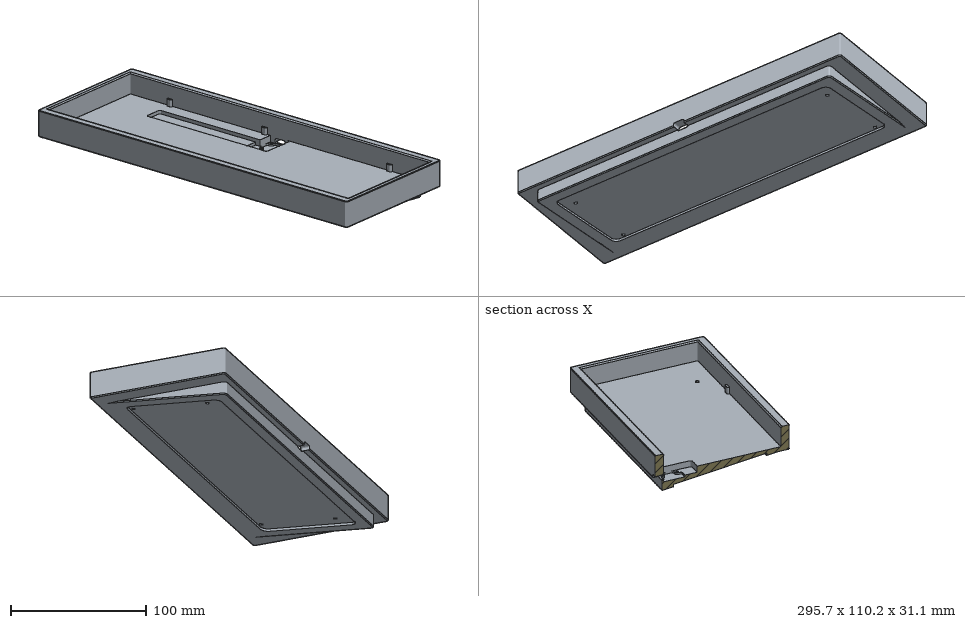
import cadquery as cq
import math

case_length = 295.7
case_width = 110.2
overall_height = 31.12
case_height = 21.1
case_corner_radius = 2.0
top_edge_chamfer = 0.5
bottom_edge_chamfer = 0.8

cavity_length = 286.25
cavity_width = 95.75
cavity_depth = 17.0
cavity_corner_radius = 0.5
rim_chamfer_size = 1.0
floor_z = case_height - cavity_depth

wedge_length = 268.4
wedge_back_y = 49.7
wedge_angle = 6.0
wedge_slope = math.tan(math.radians(wedge_angle))
wedge_corner_radius = 3.0
wedge_overlap = 1.0
wedge_edge_chamfer = 0.8
chamfer_rise = wedge_edge_chamfer * math.sin(math.radians(wedge_angle))
wedge_depth = overall_height - case_height + chamfer_rise
wedge_front_y = wedge_back_y - wedge_depth / wedge_slope

recess_border = 9.8
recess_depth = 2.0
recess_corner_radius = 5.0

screw_hole_diameter = 2.53
screw_hole_x = 115.0
front_hole_y = -34.0
back_hole_y = 26.0
back_hole_depth = 4.0

tab_width = 4.6
tab_height = 5.5
tab_root = 1.0
tab_reach = 1.9
tab_corner_radius = 1.0
back_tab_positions = (-105.0, -14.4, 105.0)
front_tab_positions = (-90.5, 90.5)

channel_left_x = -105.5
pocket_left_x = -13.8
pocket_half_width = 9.4
channel_front_y = 20.7
channel_back_y = 36.0
channel_corner_radius = 2.0
channel_depth = 2.8
pocket_depth = 5.2
pocket_z = floor_z - pocket_depth

relief_depth = 1.5
relief_front_y = 30.7
board_hole_diameter = 1.6
board_hole_x = 7.1
board_hole_front_y = 33.5
board_hole_back_y = 46.1
board_hole_depth = 3.0
board_pad_margin = 2.1
board_pad_radius = 2.0
relief_end_radius = 1.4

port_width = 9.5
port_lift = 0.2
port_height = 3.9
port_corner_radius = 1.5
port_bottom_z = pocket_z + port_lift


def box(x_min, x_max, y_min, y_max, z_min, z_max):
    """Axis-aligned block given by its limits."""
    return cq.Workplane("XY").box(
        x_max - x_min, y_max - y_min, z_max - z_min, centered=False
    ).translate((x_min, y_min, z_min))


def make_body():
    body = cq.Workplane("XY").box(case_length, case_width, case_height, centered=(True, True, False))
    body = body.edges("|Z").fillet(case_corner_radius)
    body = body.faces(">Z").edges().chamfer(top_edge_chamfer)
    return body.faces("<Z").edges().chamfer(bottom_edge_chamfer)


def make_cavity():
    cavity = (
        cq.Workplane("XY", origin=(0, 0, floor_z))
        .rect(cavity_length, cavity_width)
        .extrude(cavity_depth)
        .edges("|Z")
        .fillet(cavity_corner_radius)
    )
    rim_chamfer = (
        cq.Workplane("XY", origin=(0, 0, case_height))
        .rect(cavity_length + 2 * rim_chamfer_size, cavity_width + 2 * rim_chamfer_size)
        .workplane(offset=-rim_chamfer_size)
        .rect(cavity_length, cavity_width)
        .loft(ruled=True)
    )
    return cavity.union(rim_chamfer)


def underside_z(y):
    """Height of the sloping underside of the wedge at a given Y."""
    return -(y - wedge_front_y) * wedge_slope


def make_wedge():
    wedge = (
        cq.Workplane("YZ", origin=(-wedge_length / 2, 0, 0))
        .moveTo(wedge_front_y, 0)
        .lineTo(wedge_back_y, underside_z(wedge_back_y))
        .lineTo(wedge_back_y, wedge_overlap)
        .lineTo(wedge_front_y, wedge_overlap)
        .close()
        .extrude(wedge_length)
    )
    wedge = wedge.edges("|Z and >Y").fillet(wedge_corner_radius)
    return wedge.faces("<Z").edges("not <Y").chamfer(wedge_edge_chamfer)


def make_recess():
    half_length = wedge_length / 2 - recess_border
    front_y = wedge_front_y + recess_border
    back_y = wedge_back_y - recess_border
    profile = (
        cq.Workplane("YZ", origin=(-half_length, 0, 0))
        .moveTo(front_y, underside_z(front_y) + recess_depth)
        .lineTo(back_y, underside_z(back_y) + recess_depth)
        .lineTo(back_y, -overall_height)
        .lineTo(front_y, -overall_height)
        .close()
    )
    return profile.extrude(2 * half_length).edges("|Z").fillet(recess_corner_radius)


def make_screw_holes():
    """Front holes pass through the floor; the back ones are blind, in the thick of the wedge."""
    radius = screw_hole_diameter / 2
    front_holes = (
        cq.Workplane("XY", origin=(0, 0, -wedge_depth))
        .pushPoints([(-screw_hole_x, front_hole_y), (screw_hole_x, front_hole_y)])
        .circle(radius)
        .extrude(wedge_depth + case_height)
    )
    back_hole_top = underside_z(back_hole_y) + recess_depth + back_hole_depth
    back_holes = (
        cq.Workplane("XY", origin=(0, 0, back_hole_top))
        .pushPoints([(-screw_hole_x, back_hole_y), (screw_hole_x, back_hole_y)])
        .circle(radius)
        .extrude(-overall_height)
    )
    return front_holes.union(back_holes)


def make_tab(x, side):
    """Tab on the front (side = -1) or back (side = +1) cavity wall, standing on the floor."""
    root_y = side * (cavity_width / 2 + tab_root)
    tip_y = side * (cavity_width / 2 - tab_reach)
    tab = box(
        x - tab_width / 2, x + tab_width / 2,
        min(root_y, tip_y), max(root_y, tip_y),
        floor_z, floor_z + tab_height,
    )
    return tab.edges("|Z").edges("<Y" if side > 0 else ">Y").fillet(tab_corner_radius)


def make_floor_pocket():
    """Long shallow cable channel, and the deeper L-shaped pocket at its right end."""
    cable_channel = box(
        channel_left_x, pocket_left_x + channel_corner_radius, channel_front_y, channel_back_y,
        floor_z - channel_depth, floor_z,
    )
    cable_channel = cable_channel.edges("|Z and <X").fillet(channel_corner_radius)
    pocket_front = box(
        pocket_left_x, pocket_half_width, channel_front_y, channel_back_y, pocket_z, floor_z
    )
    pocket_back = box(
        -pocket_half_width, pocket_half_width, channel_front_y, cavity_width / 2, pocket_z, floor_z
    )
    pocket = pocket_front.union(pocket_back).edges("|Z and >X").fillet(channel_corner_radius)
    return cable_channel.union(pocket)


def board_hole_positions():
    return [
        (x, y)
        for x in (-board_hole_x, board_hole_x)
        for y in (board_hole_front_y, board_hole_back_y)
    ]


def make_board_relief():
    """Cross-shaped relief whose inner corners curve around the four board screws."""
    arm_half_width = board_hole_x - board_pad_margin
    arm_front_y = board_hole_front_y + board_pad_margin
    arm_back_y = board_hole_back_y - board_pad_margin
    relief_z = pocket_z - relief_depth
    long_arm = box(-arm_half_width, arm_half_width, relief_front_y, cavity_width / 2, relief_z, pocket_z)
    cross_arm = box(-pocket_half_width, pocket_half_width, arm_front_y, arm_back_y, relief_z, pocket_z)
    relief = long_arm.union(cross_arm)

    for x in (-arm_half_width, arm_half_width):
        for y in (arm_front_y, arm_back_y):
            inner_corner = cq.selectors.NearestToPointSelector((x, y, pocket_z - relief_depth / 2))
            relief = relief.edges(inner_corner).fillet(board_pad_radius)
    arm_ends = relief.edges("(|Z and (<X or >X)) or (|Z and <Y)")
    return arm_ends.fillet(relief_end_radius)


def make_board_holes():
    return (
        cq.Workplane("XY", origin=(0, 0, pocket_z))
        .pushPoints(board_hole_positions())
        .circle(board_hole_diameter / 2)
        .extrude(-board_hole_depth)
    )


def make_port():
    return box(
        -port_width / 2, port_width / 2, cavity_width / 2, case_width / 2,
        port_bottom_z, port_bottom_z + port_height,
    ).edges("|Y").fillet(port_corner_radius)


result = make_body().union(make_wedge())
for cutter in (
    make_cavity(),
    make_recess(),
    make_screw_holes(),
    make_floor_pocket(),
    make_board_relief(),
    make_board_holes(),
    make_port(),
):
    result = result.cut(cutter)
for tab_x in back_tab_positions:
    result = result.union(make_tab(tab_x, 1))
for tab_x in front_tab_positions:
    result = result.union(make_tab(tab_x, -1))